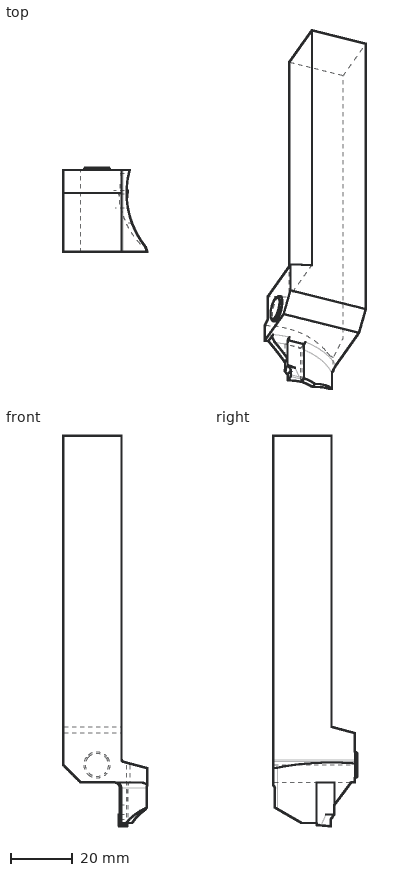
import cadquery as cq
import math


total_height = 127.0
shank_side = 19.05
holder_depth = 26.6
holder_width = 27.41
foot_bottom = 14.3
corner_chamfer = 5.7
ledge_angle = math.radians(15)
side_ledge_root = 21.2
back_ledge_root = 32.4
ledge_fillet = 0.6
back_drop = (holder_depth - shank_side) * math.tan(ledge_angle)
side_drop = (holder_width - shank_side) * math.tan(ledge_angle)

blade_thickness = 2.25
blade_outer_x = 18.4
blade_inner_x = blade_outer_x + blade_thickness
blade_front = 0.35
blade_bottom = 1.1
blade_fillet = 1.8
curve_center_y = 19.1
concave_radius = 28.0
convex_radius = 24.0
lip_end_y = 1.5
front_slope_start = 9.3
front_slope_angle = math.radians(30)
jaw_root_y = 25.4
jaw_tip_z = 6.9

insert_front = 14.15
insert_back = 19.9
tip_overhang = 0.45
tip_height = 3.9
tip_taper_end = 15.5
tip_top_taper_end = 17.2
edge_y = 18.8
rake_kink_z = 2.3
end_relief = math.radians(5)
tip_corner_radius = 0.4

screw_diameter = 8.5
screw_x = 11.0
screw_z = 20.0
screw_protrusion = 0.85
screw_rim_depth = 0.6
screw_rim_width = 0.5

margin = 10.0
plate_thickness = 1.0
pick_tolerance = 0.1


def box(x0, x1, y0, y1, z0, z1):
    return cq.Workplane("XY").box(x1 - x0, y1 - y0, z1 - z0, centered=False).translate((x0, y0, z0))


def side_prism(points, x0, x1):
    """Prism along X from an outline given as (Y, Z) points."""
    return cq.Workplane("YZ").polyline(points).close().extrude(x1 - x0).translate((x0, 0, 0))


def arc_x(apex_x, radius, y):
    """X at a given Y on a blade arc whose most negative X is apex_x."""
    return apex_x + radius - math.sqrt(radius**2 - (y - curve_center_y) ** 2)


def make_shank():
    outline = [
        (0, foot_bottom),
        (holder_depth, foot_bottom),
        (holder_depth, back_ledge_root - back_drop),
        (shank_side, back_ledge_root),
        (shank_side, total_height),
        (0, total_height),
    ]
    return side_prism(outline, 0, shank_side)


def make_foot_ledge():
    return (
        cq.Workplane("XZ")
        .moveTo(0, foot_bottom)
        .lineTo(holder_width, foot_bottom)
        .lineTo(holder_width, side_ledge_root - side_drop)
        .lineTo(shank_side, side_ledge_root)
        .lineTo(0, side_ledge_root)
        .close()
        .extrude(-holder_depth)
    )


def make_blade():
    """Curved blade with a root fillet, before the concave face is cut."""
    back = holder_depth + margin
    right = holder_width + margin
    stock = (
        cq.Workplane("XY")
        .moveTo(right, blade_front)
        .lineTo(arc_x(blade_outer_x, convex_radius, blade_front), blade_front)
        .threePointArc((blade_outer_x, curve_center_y), (arc_x(blade_outer_x, convex_radius, back), back))
        .lineTo(right, back)
        .close()
        .extrude(foot_bottom - blade_bottom)
        .translate((0, 0, blade_bottom))
    )
    root_plate = box(0, right, -margin, back, foot_bottom, foot_bottom + plate_thickness)
    root_edges = cq.selectors.BoxSelector(
        (pick_tolerance, blade_front - pick_tolerance, foot_bottom - pick_tolerance),
        (right - pick_tolerance, back - pick_tolerance, foot_bottom + pick_tolerance),
    )
    blade = stock.union(root_plate).edges(root_edges).fillet(blade_fillet)
    blade = blade.intersect(box(0, holder_width, 0, holder_depth, 0, foot_bottom))

    slope_run = front_slope_start + margin
    front_slope = [
        (front_slope_start, blade_bottom),
        (-margin, blade_bottom + slope_run * math.tan(front_slope_angle)),
        (-margin, blade_bottom),
    ]
    jaw_slope = [
        (jaw_root_y, foot_bottom),
        (insert_back, jaw_tip_z),
        (insert_back, 0),
        (holder_depth, 0),
        (holder_depth, foot_bottom),
    ]
    blade = blade.cut(side_prism(front_slope, 0, right))
    return blade.cut(side_prism(jaw_slope, 0, right))


def make_concave_cutter():
    back = holder_depth + margin
    right = holder_width + margin
    return (
        cq.Workplane("XY")
        .moveTo(holder_width, 0)
        .lineTo(arc_x(blade_inner_x, concave_radius, lip_end_y), lip_end_y)
        .threePointArc(
            (blade_inner_x, curve_center_y),
            (arc_x(blade_inner_x, concave_radius, back), back),
        )
        .lineTo(right, back)
        .lineTo(right, 0)
        .close()
        .extrude(side_ledge_root)
    )


def make_screw_head():
    return (
        cq.Workplane("XZ", origin=(screw_x, holder_depth, screw_z))
        .circle(screw_diameter / 2)
        .extrude(-screw_protrusion)
        .faces(">Y")
        .edges()
        .chamfer(screw_rim_depth, screw_rim_width)
    )


def make_holder():
    body = make_shank().union(make_foot_ledge())
    inner_corner = cq.selectors.BoxSelector(
        (shank_side - pick_tolerance, -pick_tolerance, side_ledge_root - pick_tolerance),
        (shank_side + pick_tolerance, holder_depth + pick_tolerance, side_ledge_root + pick_tolerance),
    )
    body = body.edges(inner_corner).fillet(ledge_fillet)
    body = body.edges("|Y").edges("<X and <Z").chamfer(corner_chamfer)
    body = body.union(make_blade()).cut(make_concave_cutter())
    insert_slot = box(0, holder_width, insert_front, insert_back, 0, foot_bottom)
    return body.cut(insert_slot).union(make_screw_head())


def make_insert():
    bar = box(blade_outer_x, blade_inner_x, insert_front, insert_back, 0, foot_bottom)

    def tip_section(taper_end):
        return [
            (blade_outer_x, taper_end),
            (blade_inner_x, taper_end),
            (blade_inner_x + tip_overhang, insert_back),
            (blade_outer_x - tip_overhang, insert_back),
        ]

    tip = (
        cq.Workplane("XY")
        .polyline(tip_section(tip_taper_end))
        .close()
        .workplane(offset=tip_height)
        .polyline(tip_section(tip_top_taper_end))
        .close()
        .loft(ruled=True)
    )
    relief_rise = (edge_y - insert_front) * math.tan(end_relief)
    side_outline = [
        (edge_y, 0),
        (edge_y, rake_kink_z),
        (insert_back, tip_height),
        (insert_back, foot_bottom),
        (insert_front, foot_bottom),
        (insert_front, relief_rise),
    ]
    body = bar.union(tip).intersect(side_prism(side_outline, 0, holder_width))
    end_face_sides = body.faces("<Z").edges("not |X")
    return end_face_sides.fillet(tip_corner_radius)


holder = make_holder()
insert = make_insert()

result = cq.Compound.makeCompound([holder.solids().val(), insert.solids().val()])